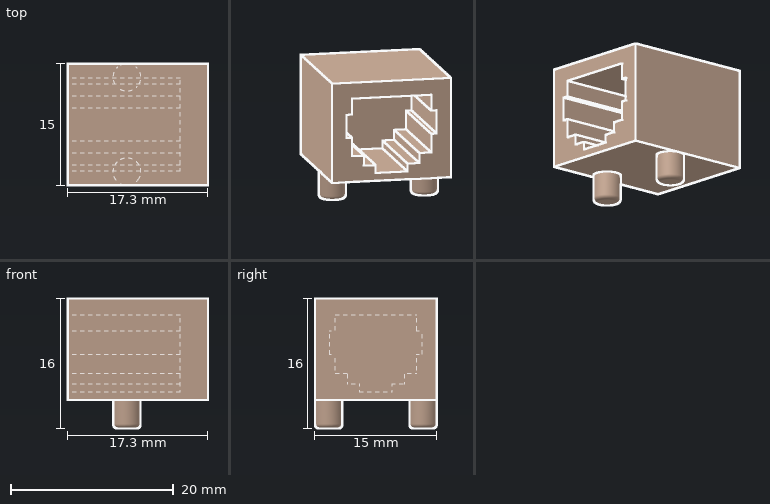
import cadquery as cq

length = 17.3
width = 15.0
height = 12.5

peg_diameter = 3.39
peg_length = 3.5
peg_tip_fillet = 0.5
peg_from_front = 7.3

cavity_depth = 13.84
roof_thickness = 2.0
cavity_top = height - roof_thickness
cavity_steps = [
    (5.0, 8.5),
    (5.7, 5.59),
    (5.0, 3.25),
    (3.5, 1.99),
    (2.0, 1.0),
]


def make_housing():
    return cq.Workplane("XY").box(length, width, height, centered=(False, True, False))


def make_cavity():
    """Stack of boxes, symmetric about Y = 0, forming the stepped opening."""
    cavity = cq.Workplane("XY")
    step_top = cavity_top
    for half_width, step_floor in cavity_steps:
        step = (
            cq.Workplane("XY", origin=(0, 0, step_floor))
            .box(cavity_depth, 2 * half_width, step_top - step_floor, centered=(False, True, False))
        )
        cavity = cavity.add(step)
        step_top = step_floor
    return cavity.combine()


def make_peg(side):
    """Round-tipped peg; side is -1 or +1 along Y."""
    peg_y = side * (width - peg_diameter) / 2
    return (
        cq.Workplane("XY", origin=(peg_from_front, peg_y, 0))
        .circle(peg_diameter / 2)
        .extrude(-peg_length)
        .faces("<Z")
        .edges()
        .fillet(peg_tip_fillet)
    )


result = make_housing().cut(make_cavity())
for side in (-1, 1):
    result = result.union(make_peg(side))